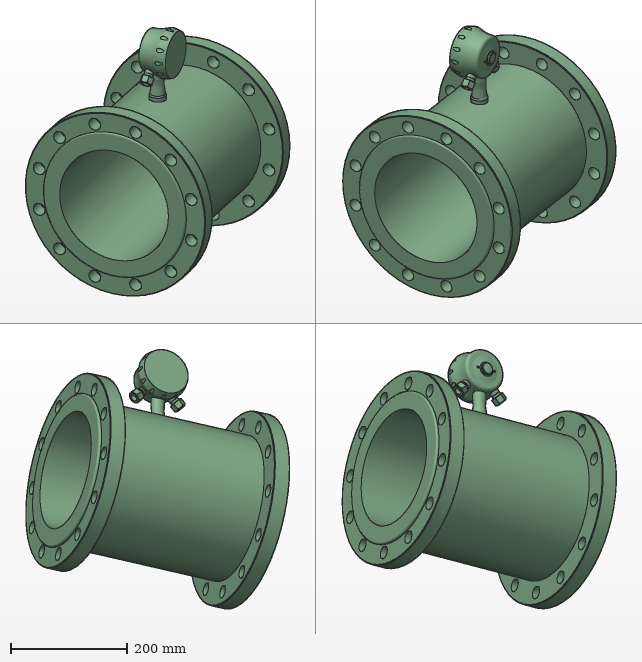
import cadquery as cq
import math

body_length = 350.0
bore_diameter = 206.7
pipe_diameter = 258.0
flange_diameter = 343.0
flange_thickness = 29.0
flange_chamfer = 1.5
face_diameter = 271.0
face_height = 4.5
face_fillet = 3.0
bolt_count = 12
bolt_hole_diameter = 22.0
bolt_circle_diameter = 299.5

stem_base_diameter = 30.0
stem_neck_diameter = 22.0
stem_top_diameter = 23.5
stem_start_z = 122.0
stem_base_top_z = 136.0
stem_shoulder_diameter = 27.0
stem_shoulder_z = 139.0
stem_cone_top_z = 155.5
stem_band_z = 159.7
stem_top_z = 168.5

back_x = -19.5
back_radius = 33.0
wall_start_x = -14.0
wall_start_radius = 38.5
wall_middle_x = 2.5
wall_middle_radius = 40.0
lid_x = 15.2
lid_radius = 88.0 / 2
ridge_x = 20.5
ridge_width = 1.5
ridge_radius = 45.3
rim_x = 31.5
rim_radius = 42.5
lid_end_x = 34.5
lid_end_radius = 83.5 / 2

boss_foot_radius = 25.2
boss_shoulder_x = -21.8
boss_shoulder_radius = 15.2
boss_step_x = -22.5
boss_step_radius = 13.0
button_x = -27.0
button_radius = 21.0 / 2
button_edge_chamfer = 1.0
button_tip_x = -28.5
pin_diameter = 3.45
pin_offset = 16.5
pin_end_x = -22.5

notch_count = 12
notch_radius = 5.2
notch_floor_lift = 0.2
notch_span = rim_x - lid_x
notch_drop = lid_radius - rim_radius
notch_start_radius = lid_radius + notch_floor_lift + notch_radius

total_height = 435.2
ridge_edge_x = ridge_x - ridge_width / 2
notch_axis_radius = notch_start_radius - notch_drop * (ridge_edge_x - lid_x) / notch_span
ridge_top = (ridge_radius**2 - notch_radius**2 + notch_axis_radius**2) / (2 * notch_axis_radius)
head_z = total_height - flange_diameter / 2 - ridge_top

gland_x = -1.7
gland_angle = 45
gland_sleeve_diameter = 16.5
gland_sleeve_end = 45.0
gland_neck_diameter = 16.0
gland_nut_start = 49.5
gland_nut_end = 63.0
gland_nut_corners = 23.5
gland_nut_chamfer = 2.0
gland_hole_diameter = 12.0
gland_hole_depth = 8.5


def cylinder_y(diameter, start_y, length):
    """Cylinder around the Y axis running from start_y towards +Y."""
    plane = cq.Plane(origin=(0, start_y, 0), xDir=(1, 0, 0), normal=(0, 1, 0))
    return cq.Workplane(plane).circle(diameter / 2).extrude(length)


def make_flange():
    """Flange at the -Y end, with its raised sealing face and bolt holes."""
    end_y = -body_length / 2
    disc_y = end_y + face_height
    disc = cylinder_y(flange_diameter, disc_y, flange_thickness).edges().chamfer(flange_chamfer)
    face = cylinder_y(face_diameter, end_y, face_height + flange_thickness / 2)
    face = face.faces("<Y").edges().fillet(face_fillet)
    bolt_plane = cq.Plane(origin=(0, end_y, 0), xDir=(1, 0, 0), normal=(0, 1, 0))
    first_angle = 180 / bolt_count
    holes = (
        cq.Workplane(bolt_plane)
        .polarArray(bolt_circle_diameter / 2, first_angle, 360, bolt_count)
        .circle(bolt_hole_diameter / 2)
        .extrude(face_height + flange_thickness)
    )
    return disc.union(face).cut(holes)


def make_pipe_body():
    pipe_length = body_length - 2 * face_height
    pipe = cylinder_y(pipe_diameter, -pipe_length / 2, pipe_length)
    flange = make_flange()
    solid = pipe.union(flange).union(flange.mirror("XZ"))
    return solid.cut(cylinder_y(bore_diameter, -body_length / 2, body_length))


def make_stem():
    """Turned stem, wide at the pipe and running up into the head."""
    profile = (
        cq.Workplane("XZ")
        .moveTo(0, stem_start_z)
        .lineTo(stem_base_diameter / 2, stem_start_z)
        .lineTo(stem_base_diameter / 2, stem_base_top_z)
        .lineTo(stem_shoulder_diameter / 2, stem_shoulder_z)
        .lineTo(stem_neck_diameter / 2, stem_cone_top_z)
        .lineTo(stem_neck_diameter / 2, stem_band_z)
        .lineTo(stem_top_diameter / 2, stem_top_z)
        .lineTo(stem_top_diameter / 2, head_z)
        .lineTo(0, head_z)
        .close()
    )
    return profile.revolve(360, (0, 0, 0), (0, 1, 0))


def make_head():
    """Housing, lid and back boss turned as one profile of (x, radius)."""
    fillet_mid = math.sqrt(0.5)
    arc_x = wall_start_x - (wall_start_x - back_x) * fillet_mid
    arc_radius = back_radius + (wall_start_radius - back_radius) * fillet_mid
    profile = (
        cq.Workplane("XZ", origin=(0, 0, head_z))
        .moveTo(button_tip_x, 0)
        .lineTo(button_x, button_radius - button_edge_chamfer)
        .lineTo(button_x + button_edge_chamfer, button_radius)
        .lineTo(boss_step_x, button_radius)
        .lineTo(boss_step_x, boss_step_radius)
        .lineTo(boss_shoulder_x, boss_shoulder_radius)
        .lineTo(back_x, boss_foot_radius)
        .lineTo(back_x, back_radius)
        .threePointArc((arc_x, arc_radius), (wall_start_x, wall_start_radius))
        .threePointArc((wall_middle_x, wall_middle_radius), (lid_x, lid_radius))
        .lineTo(ridge_edge_x, ridge_radius)
        .lineTo(ridge_x + ridge_width / 2, ridge_radius)
        .lineTo(rim_x, rim_radius)
        .lineTo(lid_end_x, lid_end_radius)
        .lineTo(lid_end_x, 0)
        .close()
    )
    return profile.revolve(360, (0, 0, 0), (1, 0, 0))


def make_back_pins():
    """Two small pins on the boss, one on each side of the button."""
    return (
        cq.Workplane("YZ", origin=(pin_end_x, 0, head_z))
        .pushPoints([(-pin_offset, 0), (pin_offset, 0)])
        .circle(pin_diameter / 2)
        .extrude(back_x - pin_end_x)
    )


def cut_grip_notches(head):
    """Round notches across the ridge, running out near the lid's two edges."""
    axis_start = head_z + notch_start_radius
    plane = cq.Plane(origin=(lid_x, 0, axis_start), xDir=(0, 1, 0), normal=(notch_span, 0, -notch_drop))
    notch = cq.Workplane(plane).circle(notch_radius).extrude(math.hypot(notch_span, notch_drop))
    for index in range(notch_count):
        angle = index * 360 / notch_count
        head = head.cut(notch.rotate((0, 0, head_z), (1, 0, head_z), angle))
    return head


def make_gland():
    """Cable gland on the -Y side, built along its own axis from the head centre."""
    tilt = math.radians(gland_angle)
    direction = (0, -math.cos(tilt), -math.sin(tilt))
    base = cq.Plane(origin=(gland_x, 0, head_z), xDir=(1, 0, 0), normal=direction)
    sleeve = cq.Workplane(base).circle(gland_sleeve_diameter / 2).extrude(gland_sleeve_end)
    neck = cq.Workplane(base).circle(gland_neck_diameter / 2).extrude(gland_nut_start)
    nut_length = gland_nut_end - gland_nut_start
    nut_base = cq.Workplane(base).workplane(offset=gland_nut_start)
    nut = nut_base.polygon(6, gland_nut_corners).extrude(nut_length)
    trim = nut_base.circle(gland_nut_corners / 2).extrude(nut_length)
    outer_end = cq.selectors.DirectionMinMaxSelector(cq.Vector(*direction))
    trim = trim.faces(outer_end).chamfer(gland_nut_chamfer)
    hole = (
        cq.Workplane(base)
        .workplane(offset=gland_nut_end - gland_hole_depth)
        .circle(gland_hole_diameter / 2)
        .extrude(gland_hole_depth)
    )
    return sleeve.union(neck).union(nut.intersect(trim)).cut(hole)


gland = make_gland()
head = cut_grip_notches(make_head()).union(make_back_pins())
result = (
    make_pipe_body()
    .union(make_stem())
    .union(head)
    .union(gland)
    .union(gland.mirror("XZ"))
)